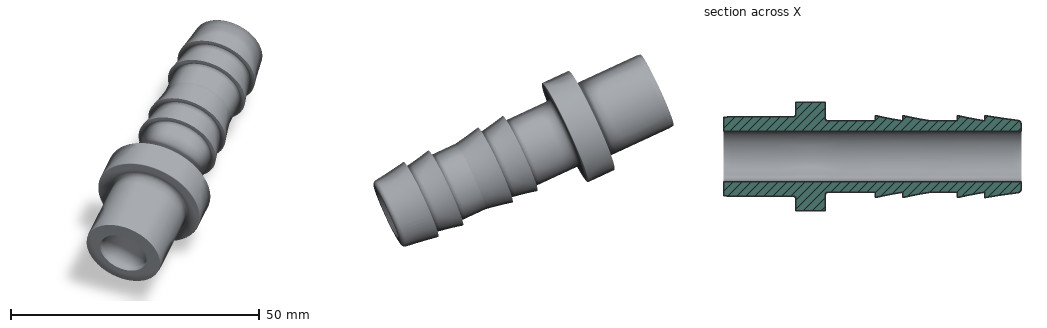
import cadquery as cq


length = 60
bore_diameter = 10.0

spigot_diameter = 16.1
spigot_length = 14.5
spigot_taper_length = 0.9
spigot_taper_depth = 0.1

collar_diameter = 22.0
collar_width = 6
collar_edge_radius = 0.2
collar_root_radius = 0.5

tail_diameter = 14.5
barb_diameter = 16.7
first_barb_length = 7.45
barb_pitch = 5.5
barb_flank_sag = 0.05
nose_radius = 0.85

selection_margin = 0.05

spigot_end = -length / 2
collar_start = spigot_end + spigot_length
collar_end = collar_start + collar_width
nose_end = length / 2
first_barb_heel = nose_end - first_barb_length

barbs = [
    (first_barb_heel, first_barb_length),
    (first_barb_heel - barb_pitch, barb_pitch),
    (first_barb_heel - 3 * barb_pitch, barb_pitch),
    (first_barb_heel - 4 * barb_pitch, barb_pitch),
]


def cylinder(diameter, start, end):
    """Round bar along Y between two axial positions."""
    bar = cq.Workplane("XZ", origin=(0, end, 0)).circle(diameter / 2)
    return bar.extrude(end - start)


def barb(heel, barb_length):
    """Ring with a square heel at -Y and a hollow flank narrowing towards +Y."""
    tail_radius = tail_diameter / 2
    barb_radius = barb_diameter / 2
    tip = heel + barb_length
    flank_middle = ((tail_radius + barb_radius) / 2 - barb_flank_sag, heel + barb_length / 2)
    profile = (
        cq.Workplane("XY")
        .moveTo(0, heel)
        .lineTo(barb_radius, heel)
        .threePointArc(flank_middle, (tail_radius, tip))
        .lineTo(0, tip)
        .close()
    )
    return profile.revolve(360, (0, 0, 0), (0, 1, 0))


def root_ring(diameter, face_position):
    """Edge where a cylinder of this diameter meets a collar face."""
    reach = diameter / 2 + selection_margin
    return cq.selectors.BoxSelector(
        (-reach, face_position - selection_margin, -reach),
        (reach, face_position + selection_margin, reach),
        boundingbox=True,
    )


spigot = (
    cylinder(spigot_diameter, spigot_end, collar_start)
    .faces("<Y")
    .chamfer(spigot_taper_length, spigot_taper_depth)
)

collar = cylinder(collar_diameter, collar_start, collar_end).edges("%CIRCLE").fillet(collar_edge_radius)

tail = cylinder(tail_diameter, collar_end, first_barb_heel)
for heel, barb_length in barbs:
    tail = tail.union(barb(heel, barb_length))
tail = tail.faces(">Y").edges().fillet(nose_radius)

body = spigot.union(collar).union(tail)
body = body.edges(root_ring(spigot_diameter, collar_start)).fillet(collar_root_radius)
body = body.edges(root_ring(tail_diameter, collar_end)).fillet(collar_root_radius)

result = body.cut(cylinder(bore_diameter, spigot_end, nose_end))